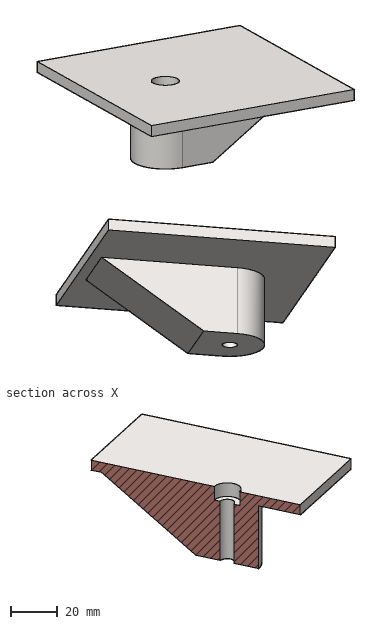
import cadquery as cq

plate_side = 100
plate_thickness = 5

block_width = 30
block_height = 30
block_radius = block_width / 2
hole_y = -15
slope_foot_y = 0
slope_top_y = 45

hole_diameter = 6.5
counterbore_diameter = 12
counterbore_depth = 6.5


def make_plate():
    """Plate with its underside on Z = 0."""
    return cq.Workplane("XY").box(
        plate_side, plate_side, plate_thickness, centered=(True, True, False)
    )


def make_round_front():
    return (
        cq.Workplane("XY")
        .center(0, hole_y)
        .circle(block_radius)
        .extrude(-block_height)
    )


def make_sloping_back():
    return (
        cq.Workplane("YZ")
        .moveTo(hole_y, 0)
        .lineTo(slope_top_y, 0)
        .lineTo(slope_foot_y, -block_height)
        .lineTo(hole_y, -block_height)
        .close()
        .extrude(block_width / 2, both=True)
    )


body = make_plate().union(make_round_front()).union(make_sloping_back())

result = (
    body.faces(">Z")
    .workplane(origin=(0, hole_y, plate_thickness))
    .cboreHole(hole_diameter, counterbore_diameter, counterbore_depth)
)